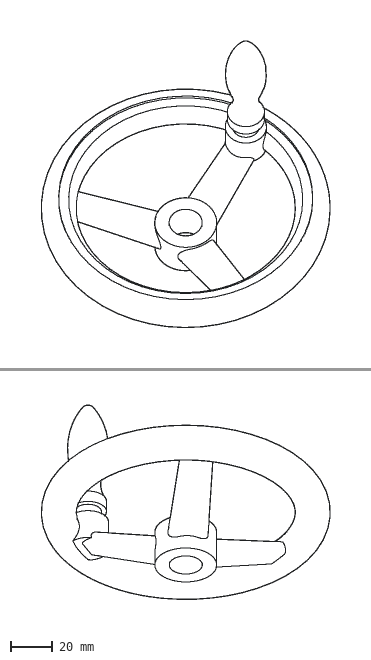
import math

import cadquery as cq

HUB_RADIUS = 15.0
HUB_HEIGHT = 19.0
BORE_RADIUS = 8.0

RIM_OUTER_RADIUS = 70.0
RIM_SECTION_RADIUS = 8.5
RIM_MID_Z = 30.5
RIM_STEP = 1.5
RIM_CREST_RADIUS = RIM_OUTER_RADIUS - RIM_SECTION_RADIUS
RIM_TOP_Z = RIM_MID_Z + RIM_SECTION_RADIUS
RIM_BOTTOM_Z = RIM_MID_Z - RIM_SECTION_RADIUS

SPOKE_COUNT = 3
SPOKE_FLAT_WIDTH = 9.7
SPOKE_AXIS_Z = 6.6
SPOKE_ROOT_RADIUS = 11.0
SPOKE_ROOT_THICKNESS = 9.9
SPOKE_TIP_THICKNESS = 5.8
SPOKE_FIRST_ANGLE = 90.0

HANDLE_Y = 52.0
BOSS_RADIUS = 10.0
BOSS_BOTTOM_Z = 23.5

PIN_RADIUS = 6.5
COLLAR_RADIUS = 9.0
COLLAR_BOTTOM_Z = 45.0
COLLAR_TOP_Z = 51.0
NECK_RADIUS = 6.2
NECK_Z = 60.7
BELLY_RADIUS = 10.0
BELLY_Z = 81.5
BELLY_ARC_RADIUS = 41.0
HANDLE_TOP_Z = 106.0


def make_hub():
    return cq.Workplane("XY").circle(HUB_RADIUS).extrude(HUB_HEIGHT)


def make_rim():
    """Round section with a step inside its crest, revolved around the hub axis."""
    land_height = RIM_SECTION_RADIUS - RIM_STEP
    land_z = RIM_MID_Z + land_height
    land_inner_radius = RIM_CREST_RADIUS - math.sqrt(RIM_SECTION_RADIUS**2 - land_height**2)
    inner_radius = RIM_CREST_RADIUS - RIM_SECTION_RADIUS
    section = (
        cq.Workplane("XZ")
        .moveTo(RIM_CREST_RADIUS, RIM_BOTTOM_Z)
        .threePointArc((RIM_OUTER_RADIUS, RIM_MID_Z), (RIM_CREST_RADIUS, RIM_TOP_Z))
        .lineTo(RIM_CREST_RADIUS, land_z)
        .lineTo(land_inner_radius, land_z)
        .threePointArc((inner_radius, RIM_MID_Z), (RIM_CREST_RADIUS, RIM_BOTTOM_Z))
        .close()
    )
    return section.revolve(360, (0, 0, 0), (0, 1, 0))


def make_spoke(angle):
    """Tapered bar along a rising axis that ends at the centre of the rim section."""
    rise = RIM_MID_Z - SPOKE_AXIS_Z
    root_z = SPOKE_AXIS_Z + rise * SPOKE_ROOT_RADIUS / RIM_CREST_RADIUS
    length = math.hypot(RIM_CREST_RADIUS - SPOKE_ROOT_RADIUS, RIM_MID_Z - root_z)
    root = cq.Plane(
        origin=(SPOKE_ROOT_RADIUS, 0, root_z),
        xDir=(0, 1, 0),
        normal=(RIM_CREST_RADIUS, 0, rise),
    )
    bar = (
        cq.Workplane(root)
        .slot2D(SPOKE_FLAT_WIDTH + SPOKE_ROOT_THICKNESS, SPOKE_ROOT_THICKNESS)
        .workplane(offset=length)
        .slot2D(SPOKE_FLAT_WIDTH + SPOKE_TIP_THICKNESS, SPOKE_TIP_THICKNESS)
        .loft(ruled=True)
    )
    return bar.rotate((0, 0, 0), (0, 0, 1), angle)


def make_boss():
    boss = cq.Workplane("XY", origin=(0, HANDLE_Y, BOSS_BOTTOM_Z))
    return boss.circle(BOSS_RADIUS).extrude(RIM_TOP_Z - BOSS_BOTTOM_Z)


def make_handle():
    """Pin, collar, waisted neck, belly and domed tip; the three arcs run smoothly into each other."""
    belly_center_r = BELLY_RADIUS - BELLY_ARC_RADIUS

    neck_to_belly_z = BELLY_Z - NECK_Z
    neck_to_belly_r = NECK_RADIUS - belly_center_r
    neck_arc_radius = (BELLY_ARC_RADIUS**2 - neck_to_belly_r**2 - neck_to_belly_z**2) / (
        2 * (neck_to_belly_r - BELLY_ARC_RADIUS)
    )
    neck_center_r = NECK_RADIUS + neck_arc_radius
    neck_share = BELLY_ARC_RADIUS / (BELLY_ARC_RADIUS + neck_arc_radius)
    neck_end = (
        belly_center_r + (neck_center_r - belly_center_r) * neck_share,
        BELLY_Z + (NECK_Z - BELLY_Z) * neck_share,
    )

    belly_to_top = HANDLE_TOP_Z - BELLY_Z
    tip_radius = (BELLY_ARC_RADIUS**2 - belly_center_r**2 - belly_to_top**2) / (
        2 * (BELLY_ARC_RADIUS - belly_to_top)
    )
    tip_center_z = HANDLE_TOP_Z - tip_radius
    tip_angle = math.atan2(tip_center_z - BELLY_Z, -belly_center_r)
    tip_start = (
        tip_radius * math.cos(tip_angle),
        tip_center_z + tip_radius * math.sin(tip_angle),
    )
    tip_mid_angle = (tip_angle + math.pi / 2) / 2
    tip_mid = (
        tip_radius * math.cos(tip_mid_angle),
        tip_center_z + tip_radius * math.sin(tip_mid_angle),
    )

    profile = (
        cq.Workplane("XZ", origin=(0, HANDLE_Y, 0))
        .moveTo(0, RIM_MID_Z)
        .lineTo(PIN_RADIUS, RIM_MID_Z)
        .lineTo(PIN_RADIUS, COLLAR_BOTTOM_Z)
        .lineTo(COLLAR_RADIUS, COLLAR_BOTTOM_Z)
        .lineTo(COLLAR_RADIUS, COLLAR_TOP_Z)
        .threePointArc((NECK_RADIUS, NECK_Z), neck_end)
        .threePointArc((BELLY_RADIUS, BELLY_Z), tip_start)
        .threePointArc(tip_mid, (0, HANDLE_TOP_Z))
        .close()
    )
    return profile.revolve(360, (0, 0, 0), (0, 1, 0))


def make_bore():
    return cq.Workplane("XY").circle(BORE_RADIUS).extrude(HUB_HEIGHT)


wheel = make_hub().union(make_rim())
for index in range(SPOKE_COUNT):
    wheel = wheel.union(make_spoke(SPOKE_FIRST_ANGLE + index * 360.0 / SPOKE_COUNT))

result = wheel.union(make_boss()).union(make_handle()).cut(make_bore())